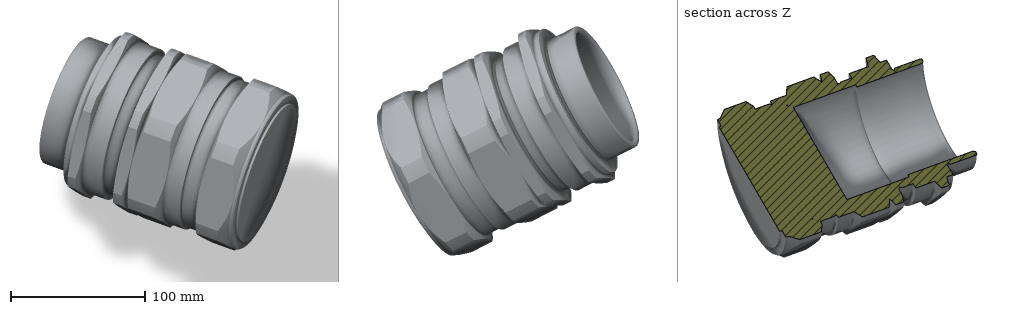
import cadquery as cq
import math


ACROSS_FLATS = 123.2
CORNER_RADIUS = 67.7
CAP_TURN = 0.5
NUT_FACE_RADIUS = 61.0

LOCKNUT_CONE = 1.8
THIN_NUT_CONE = 1.6
BODY_NUT_CONE = 3.5
CAP_START_CONE = 3.5
CAP_END_CONE = 6.2

LENGTH = 164.3
SPIGOT_END = 22.3
WASHER_START = 24.3
LOCKNUT_START = 29.4
LOCKNUT_END = 39.5
COLLAR_END = 55.2
NECK_END = 64.2
THIN_NUT_START = 66.7
BODY_NUT_START = 76.9
BODY_NUT_END = 106.0
SLEEVE_END = 119.3
CAP_NECK_START = 121.4
CAP_NUT_START = 132.5
CAP_CONE_END = 160.0
CAP_RIM_END = 162.5

SPIGOT_RADIUS = 50.1
WASHER_RADIUS = 59.6
NECK_RADIUS = 55.0
SLEEVE_RADIUS = 60.6
CAP_NECK_RADIUS = 58.5
CAP_RIM_RADIUS = 61.5
LIP_RADIUS = 54.4

SPIGOT_CHAMFER = 1.0
V_GROOVE_DEPTH = 1.6
NECK_GROOVE_DEPTH = 1.3
SLEEVE_GROOVE_DEPTH = 1.3
RIM_CHAMFER_LENGTH = 1.2
RIM_CHAMFER_DEPTH = 0.7

BORE_RADIUS = 45.3
BORE_CHAMFER = 1.5
BORE_RELIEF_RADIUS = 47.6
BORE_RELIEF_START = COLLAR_END
BORE_END = BODY_NUT_END


def revolve_profile(points):
    """Turn a list of (x, radius) points, closed along the axis, about the X axis."""
    outline = [(points[0][0], 0)] + points + [(points[-1][0], 0)]
    return cq.Workplane("XY").polyline(outline).close().revolve(360, (0, 0, 0), (1, 0, 0))


def hex_nut(start, end, start_cone, end_cone, start_face_radius, end_face_radius, turn=0.0):
    """Hexagon prism along X, its corners turned round and its ends coned.

    Each cone length is the axial distance from the end face to the full corner radius.
    """
    across_corners = ACROSS_FLATS / math.cos(math.pi / 6)
    prism = (
        cq.Workplane("YZ", origin=(start, 0, 0))
        .polygon(6, across_corners)
        .extrude(end - start)
        .rotate((0, 0, 0), (1, 0, 0), turn)
    )
    envelope = revolve_profile([
        (start, start_face_radius),
        (start + start_cone, CORNER_RADIUS),
        (end - end_cone, CORNER_RADIUS),
        (end, end_face_radius),
    ])
    return prism.intersect(envelope)


def turned_body():
    """Stepped round body over the full length, before the nuts and the bore."""
    v_groove_bottom = (SPIGOT_END + WASHER_START) / 2
    neck_groove_bottom = (NECK_END + THIN_NUT_START) / 2
    return revolve_profile([
        (0, SPIGOT_RADIUS - SPIGOT_CHAMFER),
        (SPIGOT_CHAMFER, SPIGOT_RADIUS),
        (SPIGOT_END, SPIGOT_RADIUS),
        (v_groove_bottom, SPIGOT_RADIUS - V_GROOVE_DEPTH),
        (WASHER_START, SPIGOT_RADIUS),
        (WASHER_START, WASHER_RADIUS),
        (COLLAR_END, WASHER_RADIUS),
        (COLLAR_END, NECK_RADIUS),
        (NECK_END, NECK_RADIUS),
        (neck_groove_bottom, NECK_RADIUS - NECK_GROOVE_DEPTH),
        (THIN_NUT_START, NECK_RADIUS),
        (BODY_NUT_END, NECK_RADIUS),
        (BODY_NUT_END, SLEEVE_RADIUS),
        (SLEEVE_END, SLEEVE_RADIUS),
        (SLEEVE_END, CAP_NECK_RADIUS - SLEEVE_GROOVE_DEPTH),
        (CAP_NECK_START, CAP_NECK_RADIUS),
        (CAP_CONE_END, CAP_NECK_RADIUS),
        (CAP_CONE_END, CAP_RIM_RADIUS),
        (CAP_RIM_END - RIM_CHAMFER_LENGTH, CAP_RIM_RADIUS),
        (CAP_RIM_END, CAP_RIM_RADIUS - RIM_CHAMFER_DEPTH),
        (CAP_RIM_END, LIP_RADIUS),
        (LENGTH, LIP_RADIUS),
    ])


def entry_bore():
    """Blind bore from the spigot end: chamfered mouth, entry bore, wider chamber."""
    return revolve_profile([
        (0, BORE_RADIUS + BORE_CHAMFER),
        (BORE_CHAMFER, BORE_RADIUS),
        (BORE_RELIEF_START, BORE_RADIUS),
        (BORE_RELIEF_START, BORE_RELIEF_RADIUS),
        (BORE_END, BORE_RELIEF_RADIUS),
    ])


locknut = hex_nut(
    LOCKNUT_START, LOCKNUT_END, LOCKNUT_CONE, LOCKNUT_CONE, WASHER_RADIUS, WASHER_RADIUS
)
thin_nut = hex_nut(
    THIN_NUT_START, BODY_NUT_START, THIN_NUT_CONE, THIN_NUT_CONE, NUT_FACE_RADIUS, NUT_FACE_RADIUS
)
body_nut = hex_nut(
    BODY_NUT_START, BODY_NUT_END, BODY_NUT_CONE, BODY_NUT_CONE, NUT_FACE_RADIUS, NUT_FACE_RADIUS
)
cap_nut = hex_nut(
    CAP_NUT_START, CAP_CONE_END, CAP_START_CONE, CAP_END_CONE, NUT_FACE_RADIUS, CAP_RIM_RADIUS, CAP_TURN
)

result = turned_body()
for nut in (locknut, thin_nut, body_nut, cap_nut):
    result = result.union(nut)
result = result.cut(entry_bore())